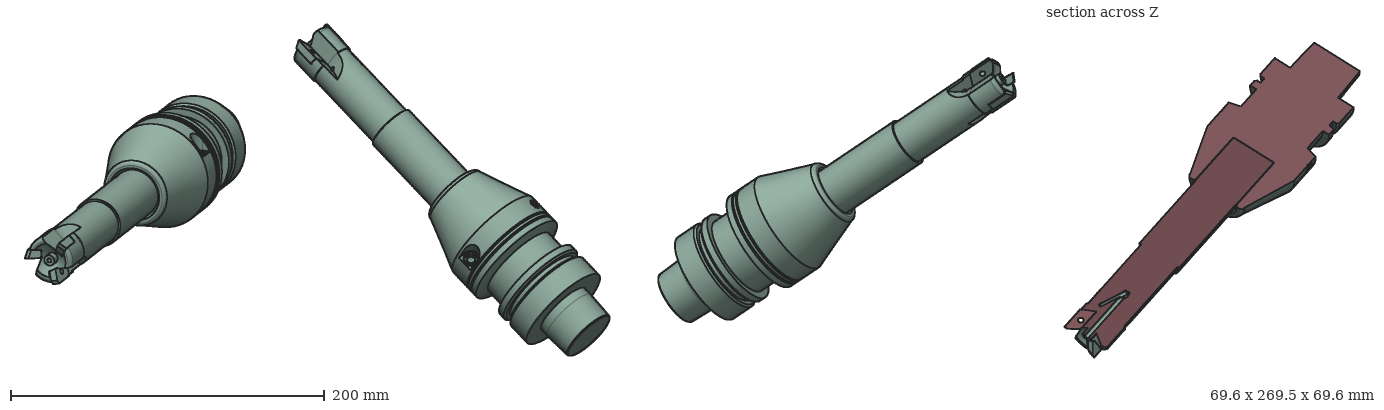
import cadquery as cq
import math

OVERALL_LENGTH = 269.5

TAPER_LENGTH = 24.5
TAPER_ROOT_RADIUS = 19.0
TAPER_END_RADIUS = 18.3
TAPER_ROOT_LENGTH = 5.7
TAPER_CHAMFER = 0.5

FLANGE_RADIUS = 31.5
FLANGE_LENGTH = 26.5
GROOVE_RADIUS = 27.5
GROOVE_TOP = -16.7
GROOVE_BOTTOM = -20.5
GROOVE_BEVEL = 1.3

NECK_RADIUS = 26.7
NECK_END = -42.5
CHUCK_RADIUS = 34.8
CHUCK_TOP = -44.7
CHUCK_BOTTOM = -67.6
NOSE_CONE_END = -103.2
NOSE_CONE_RADIUS = 21.8
NOSE_END = -106.0
NOSE_FACE_RADIUS = 19.5
MOUTH_RADIUS = 17.5
RING_GROOVE_WIDTH = 1.0
RING_GROOVE_DEPTH = 0.3
RING_GROOVE_PLACES = (-49.5, -52.8)

SCREW_PLACE = -60.0
CLAMP_SLOT_WIDTH = 11.0
CLAMP_X = 25.3
CLAMP_FLOOR_Z = 16.5
CLAMP_RECESS_DIAMETER = 9.7
CLAMP_SCREW_DIAMETER = 8.0
CLAMP_RECESS_DEPTH = 1.3
CLAMP_SOCKET_DIAMETER = 5.7
CLAMP_SOCKET_DEPTH = 4.0
BLEED_ANGLE = 57.0
BLEED_DIAMETER = 7.0
BLEED_DEPTH = 1.3
BLEED_SOCKET_DIAMETER = 4.0
BLEED_SOCKET_DEPTH = 4.0
DRILL_POINT_ANGLE = 118.0

SHANK_RADIUS = 16.0
SHANK_TOP = -64.7
SHANK_END = -165.0
STEM_RADIUS = 14.5
STEM_END = -221.8
HEAD_RADIUS = 15.4
HEAD_END = -242.3
HEAD_ROUNDING = 2.5
HUB_RADIUS = 3.5
DISH_RADIUS = 11.3
COOLANT_BORE_RADIUS = 1.3
COOLANT_HOLE_DIAMETER = 2.5
COOLANT_HOLE_SIDE = 0.8
COOLANT_BORE_END = -199.5
COOLANT_EXIT = -216.0

FLUTE_FLOOR = 6.7
FLUTE_FLOOR_TILT = 14.0
FLUTE_STRAIGHT_END = -222.5
FLUTE_RUNOUT_RADIUS = 16.5

TOOTH_ANGLES = (60.0, 180.0, 300.0)
CUTTING_RADIUS = 16.0
CUTTING_END = TAPER_LENGTH - OVERALL_LENGTH
INSERT_LENGTH = 16.7
INSERT_THICKNESS = 5.5
SIDE_RELIEF = 1.0
END_RELIEF = 2.2
BACK_RELIEF = 0.8
CORNER_LAND = 2.5
END_EDGE_ANGLE = 35.0
BACK_EDGE_ANGLE = 27.0
INSERT_HOLE_RADIUS = 10.5
INSERT_HOLE_OFFSET = 10.5
INSERT_HOLE_DIAMETER = 3.5

CUT_MARGIN = 2.7
CLEAR = 80.8


def revolve_profile(points):
    """Turn a closed (radius, y) outline about the tool axis."""
    return cq.Workplane("XY").polyline(points).close().revolve(360, (0, 0, 0), (0, 1, 0))


def turned_cylinder(radius, y_low, y_high):
    return revolve_profile([(0, y_low), (radius, y_low), (radius, y_high), (0, y_high)])


def place_at_tooth(shape, angle):
    """Turn a shape built on the +X side to a tooth angle, counted from +X toward +Z."""
    return shape.rotate((0, 0, 0), (0, 1, 0), -angle)


def drilled_hole(plane, diameter, depth):
    """Blind hole with a conical bottom, sunk below the given plane."""
    radius = diameter / 2
    point_length = radius / math.tan(math.radians(DRILL_POINT_ANGLE / 2))
    outline = [(0, CLEAR), (radius, CLEAR), (radius, -depth), (0, -depth - point_length)]
    upright = revolve_profile(outline).rotate((0, 0, 0), (1, 0, 0), 90)
    return upright.val().moved(cq.Location(plane))


def clamp_screw_recess():
    """Open-sided slot in the upper +X side, with a ring gap around a screw socket in its floor."""
    floor = cq.Plane((CLAMP_X, SCREW_PLACE, CLAMP_FLOOR_Z))
    slot_end = cq.Workplane(floor).circle(CLAMP_SLOT_WIDTH / 2).extrude(CLEAR)
    slot = cq.Workplane(floor).center(CLEAR / 2, 0).rect(CLEAR, CLAMP_SLOT_WIDTH).extrude(CLEAR)
    gap = cq.Workplane(floor).circle(CLAMP_RECESS_DIAMETER / 2).circle(CLAMP_SCREW_DIAMETER / 2)
    gap = gap.extrude(-CLAMP_RECESS_DEPTH)
    socket = drilled_hole(floor, CLAMP_SOCKET_DIAMETER, CLAMP_SOCKET_DEPTH)
    return slot.union(slot_end).union(gap).union(cq.Workplane(socket))


def bleed_screw_recess():
    """Radial stepped hole in the upper -X side."""
    angle = math.radians(BLEED_ANGLE)
    outward = cq.Vector(-math.sin(angle), 0, math.cos(angle))
    mouth = outward * CHUCK_RADIUS + cq.Vector(0, SCREW_PLACE, 0)
    plane = cq.Plane(mouth, xDir=(0, 1, 0), normal=outward)
    recess = cq.Workplane(plane).workplane(offset=-BLEED_DEPTH).circle(BLEED_DIAMETER / 2).extrude(CLEAR)
    socket = drilled_hole(plane, BLEED_SOCKET_DIAMETER, BLEED_SOCKET_DEPTH)
    return recess.union(cq.Workplane(socket))


def ring_groove(place):
    half_width = RING_GROOVE_WIDTH / 2
    floor_radius = CHUCK_RADIUS - RING_GROOVE_DEPTH
    return revolve_profile([
        (floor_radius, place - half_width),
        (CHUCK_RADIUS + CUT_MARGIN, place - half_width),
        (CHUCK_RADIUS + CUT_MARGIN, place + half_width),
        (floor_radius, place + half_width),
    ])


def make_holder():
    bevel_radius = FLANGE_RADIUS - GROOVE_BEVEL
    nose_bulge = (
        NOSE_FACE_RADIUS + (NOSE_CONE_RADIUS - NOSE_FACE_RADIUS) * math.sqrt(0.5),
        NOSE_CONE_END - (NOSE_CONE_END - NOSE_END) * math.sqrt(0.5),
    )
    outline = (
        cq.Workplane("XY")
        .moveTo(0, TAPER_LENGTH)
        .lineTo(TAPER_END_RADIUS - TAPER_CHAMFER, TAPER_LENGTH)
        .lineTo(TAPER_END_RADIUS, TAPER_LENGTH - TAPER_CHAMFER)
        .lineTo(TAPER_ROOT_RADIUS, TAPER_ROOT_LENGTH)
        .lineTo(TAPER_ROOT_RADIUS, 0)
        .lineTo(FLANGE_RADIUS, 0)
        .lineTo(FLANGE_RADIUS, GROOVE_TOP + GROOVE_BEVEL)
        .lineTo(bevel_radius, GROOVE_TOP)
        .lineTo(GROOVE_RADIUS, GROOVE_TOP)
        .lineTo(GROOVE_RADIUS, GROOVE_BOTTOM)
        .lineTo(bevel_radius, GROOVE_BOTTOM)
        .lineTo(FLANGE_RADIUS, GROOVE_BOTTOM - GROOVE_BEVEL)
        .lineTo(FLANGE_RADIUS, -FLANGE_LENGTH)
        .lineTo(NECK_RADIUS, -FLANGE_LENGTH)
        .lineTo(NECK_RADIUS, NECK_END)
        .lineTo(CHUCK_RADIUS, CHUCK_TOP)
        .lineTo(CHUCK_RADIUS, CHUCK_BOTTOM)
        .lineTo(NOSE_CONE_RADIUS, NOSE_CONE_END)
        .threePointArc(nose_bulge, (NOSE_FACE_RADIUS, NOSE_END))
        .lineTo(MOUTH_RADIUS, NOSE_END)
        .lineTo(SHANK_RADIUS, NOSE_END + MOUTH_RADIUS - SHANK_RADIUS)
        .lineTo(SHANK_RADIUS, SHANK_TOP)
        .lineTo(0, SHANK_TOP)
        .close()
    )
    holder = outline.revolve(360, (0, 0, 0), (0, 1, 0))
    for place in RING_GROOVE_PLACES:
        holder = holder.cut(ring_groove(place))
    return holder.cut(clamp_screw_recess()).cut(bleed_screw_recess())


def insert_outline(side_relief, end_relief, back_relief):
    """Parallelogram with a short land at its cutting corner, drawn in by the given reliefs."""
    outer = CUTTING_RADIUS - side_relief
    land = outer - CORNER_LAND
    end = CUTTING_END + end_relief
    back = CUTTING_END + INSERT_LENGTH - back_relief
    end_rise = (land - FLUTE_FLOOR) * math.tan(math.radians(END_EDGE_ANGLE))
    back_rise = (outer - FLUTE_FLOOR) * math.tan(math.radians(BACK_EDGE_ANGLE))
    return [
        (outer, end),
        (outer, back),
        (FLUTE_FLOOR, back + back_rise),
        (FLUTE_FLOOR, end + end_rise),
        (land, end),
    ]


def make_insert(angle):
    """Insert whose cutting face lies in a plane through the tool axis, relieved toward its seat."""
    block = (
        cq.Workplane("XY")
        .polyline(insert_outline(0, 0, 0))
        .close()
        .workplane(offset=-INSERT_THICKNESS)
        .polyline(insert_outline(SIDE_RELIEF, END_RELIEF, BACK_RELIEF))
        .close()
        .loft(ruled=True)
    )
    return place_at_tooth(block, angle)


def insert_end_opening(angle):
    """Opening in the cutter head that bares the end flank of an insert, from its middle to the end."""
    middle = CUTTING_END + INSERT_LENGTH / 2
    middle_rise = (CUTTING_RADIUS - FLUTE_FLOOR) * math.tan(math.radians(BACK_EDGE_ANGLE))
    outline = [
        (FLUTE_FLOOR, CUTTING_END - CUT_MARGIN),
        (CUTTING_RADIUS, CUTTING_END - CUT_MARGIN),
        (CUTTING_RADIUS, middle),
        (FLUTE_FLOOR, middle + middle_rise),
    ]
    opening = cq.Workplane("XY").polyline(outline).close().extrude(-INSERT_THICKNESS)
    return place_at_tooth(opening, angle)


def insert_screw_hole(angle):
    hole = cq.Workplane("XY").center(INSERT_HOLE_RADIUS, CUTTING_END + INSERT_HOLE_OFFSET)
    hole = hole.circle(INSERT_HOLE_DIAMETER / 2).extrude(-INSERT_THICKNESS)
    return place_at_tooth(hole, angle)


def flute(angle):
    """Notch in front of a cutting face, with a tilted flat floor that runs out in an arc."""
    runout_center = FLUTE_FLOOR + FLUTE_RUNOUT_RADIUS
    runout_end = FLUTE_STRAIGHT_END + FLUTE_RUNOUT_RADIUS
    diagonal = FLUTE_RUNOUT_RADIUS * math.sqrt(0.5)
    prism = (
        cq.Workplane("XY")
        .moveTo(FLUTE_FLOOR, CUTTING_END - CUT_MARGIN)
        .lineTo(FLUTE_FLOOR, FLUTE_STRAIGHT_END)
        .threePointArc(
            (runout_center - diagonal, FLUTE_STRAIGHT_END + diagonal),
            (runout_center, runout_end),
        )
        .lineTo(runout_center, CUTTING_END - CUT_MARGIN)
        .close()
        .extrude(CLEAR, both=True)
        .rotate((FLUTE_FLOOR, 0, 0), (FLUTE_FLOOR, 1, 0), FLUTE_FLOOR_TILT)
    )
    front_side = cq.Workplane("XY").rect(CLEAR * 2, OVERALL_LENGTH * 2).extrude(CLEAR)
    return place_at_tooth(prism.intersect(front_side), angle)


def coolant_hole(angle):
    """Slanted hole from the central bore to the runout of a flute."""
    start = cq.Vector(0, COOLANT_BORE_END, COOLANT_HOLE_SIDE)
    path = cq.Vector(FLUTE_FLOOR, COOLANT_EXIT, COOLANT_HOLE_SIDE) - start
    length = path.Length + COOLANT_HOLE_DIAMETER
    hole = cq.Solid.makeCylinder(COOLANT_HOLE_DIAMETER / 2, length, start, path)
    return place_at_tooth(cq.Workplane(hole), angle)


def end_dish():
    """Conical hollow in the cutter end that leaves a hub around the axis."""
    depth = (DISH_RADIUS - HUB_RADIUS) * math.tan(math.radians(END_EDGE_ANGLE))
    return revolve_profile([(HUB_RADIUS, HEAD_END), (DISH_RADIUS, HEAD_END), (HUB_RADIUS, HEAD_END + depth)])


def make_cutter(insert_blocks):
    shank = turned_cylinder(SHANK_RADIUS, SHANK_END, SHANK_TOP)
    stem = turned_cylinder(STEM_RADIUS, STEM_END, SHANK_END)
    head = turned_cylinder(HEAD_RADIUS, HEAD_END, STEM_END).faces("<Y").edges().fillet(HEAD_ROUNDING)
    cutter = shank.union(stem).union(head).cut(end_dish())
    cutter = cutter.cut(turned_cylinder(COOLANT_BORE_RADIUS, HEAD_END, COOLANT_BORE_END))
    for angle, block in zip(TOOTH_ANGLES, insert_blocks):
        cutter = cutter.cut(flute(angle)).cut(coolant_hole(angle))
        cutter = cutter.cut(insert_end_opening(angle)).cut(block)
    return cutter


holder = make_holder()
insert_blocks = [make_insert(angle) for angle in TOOTH_ANGLES]
cutter = make_cutter(insert_blocks)
inserts = [block.cut(insert_screw_hole(angle)) for angle, block in zip(TOOTH_ANGLES, insert_blocks)]

result = cq.Compound.makeCompound([holder.val(), cutter.val(), *[insert.val() for insert in inserts]])